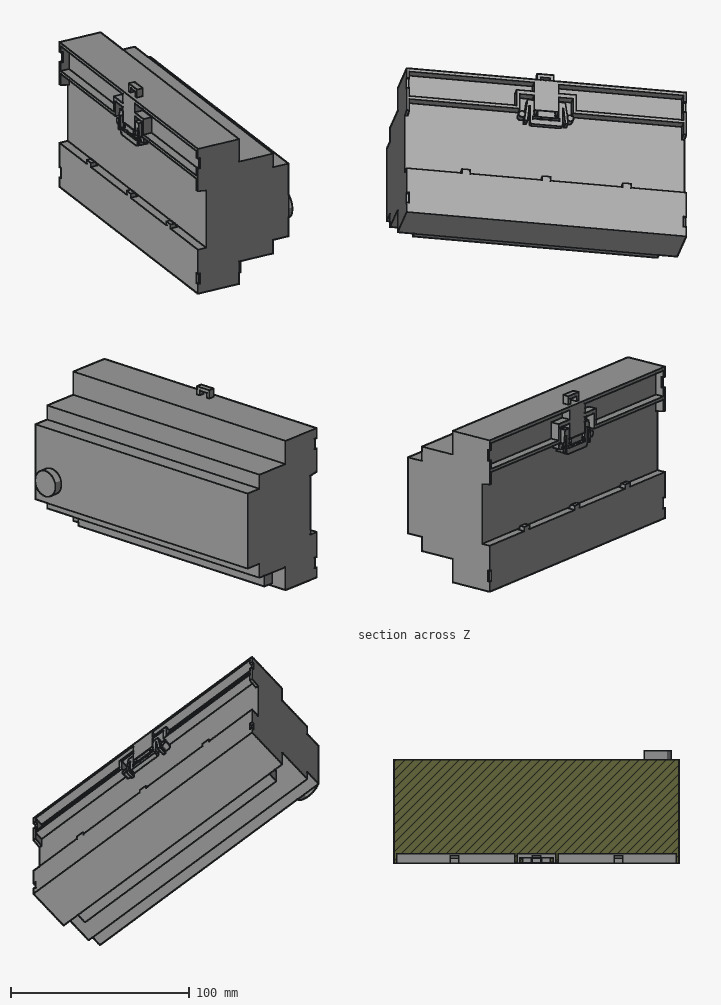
import cadquery as cq

LENGTH = 160.0
HEIGHT = 90.0
OVERALL_HEIGHT = 95.0
OVERALL_DEPTH = 63.2

SHOULDER_Y = 26.4
STEP_Y = 48.3
NOSE_Y = 58.2
STEP_BOTTOM_Z = 13.9
STEP_TOP_Z = 76.0
NOSE_BOTTOM_Z = 22.3
NOSE_TOP_Z = 67.5

TERMINAL_INSET = 10.0
TERMINAL_Y = 33.2
TERMINAL_BOTTOM_Z = 1.6

KNOB_X = 68.0
KNOB_Z = 36.3
KNOB_DIAMETER = 15.3

FLOOR_Y = 5.3
END_WALL = 1.6
LIP_Z = 27.4
END_WALL_FRONT_Z = 63.8
END_WALL_BACK_Z = 62.8
TOP_WALL = 2.0

RIDGE_BOTTOM_Z = 70.8
RIDGE_TOP_Z = 72.7
ARCH_INNER_X = 15.2
ARCH_OUTER_X = 17.1
ARCH_INNER_Z = 80.0
ARCH_OUTER_Z = 82.4

BUMP_PITCH = 46.0
BUMP_WIDTH = 4.7
BUMP_HEIGHT = 2.5
BUMP_TOP_DEPTH = 2.9
BUMP_ROOT_DEPTH = 4.2

NOTCH_DEPTH = 1.5
NOTCH_HEIGHT = 6.3
LOWER_NOTCH_Z = 6.0
UPPER_NOTCH_Z = 77.7

STRIP_HALF_WIDTH = 7.0
LATCH_FRONT_Y = 0.3
LATCH_BACK_Y = 3.0
LATCH_TOP_Z = 77.1
TONGUE_HALF_WIDTH = 9.4
TONGUE_BOTTOM_Z = 62.1
TONGUE_CHAMFER = 0.9
FINGER_TOP_X = 10.8
FINGER_TIP_INNER_X = 10.8
FINGER_TIP_OUTER_X = 12.3
FINGER_TIP_Z = 64.0
FINGER_KNEE_Z = 66.5
FINGER_ROOT_X = 9.8
FINGER_ROOT_Z = 73.4
WINDOW_WIDTH = 2.0
WINDOW_BOTTOM_Z = 68.0
SLOT_WIDTH = 4.7
SLOT_PITCH = 5.35
SLOT_BOTTOM_Z = 65.4
SLOT_TOP_Z = 66.9
PEG_X = 13.8
PEG_Z = 68.1
PEG_DIAMETER = 3.8
PEG_FRONT_Y = 1.0

LOOP_HALF_WIDTH = 4.75
LOOP_HOLE_HALF_WIDTH = 2.7
LOOP_BAR = 2.1
LOOP_FRONT_Y = 2.7
LOOP_BACK_Y = 6.4


def box(x0, x1, y0, y1, z0, z1):
    """Box between two opposite corners."""
    return cq.Workplane("XY").box(x1 - x0, y1 - y0, z1 - z0, centered=False).translate((x0, y0, z0))


def prism_along_x(points, x0, x1):
    """Closed (y, z) outline extruded from x0 to x1."""
    return cq.Workplane("YZ").polyline(points).close().extrude(x1 - x0).translate((x0, 0, 0))


def prism_along_y(points, y0, y1):
    """Closed (x, z) outline extruded from y0 to y1."""
    return cq.Workplane("XZ").polyline(points).close().extrude(y0 - y1).translate((0, y0, 0))


def cylinder_along_y(x, z, diameter, y0, y1):
    """Round bar centred at (x, z), from y0 to y1."""
    plane = cq.Plane(origin=(x, y0, z), xDir=(0, 0, 1), normal=(0, 1, 0))
    return cq.Workplane(plane).circle(diameter / 2).extrude(y1 - y0)


def make_housing():
    profile = [
        (0, 0),
        (SHOULDER_Y, 0),
        (SHOULDER_Y, STEP_BOTTOM_Z),
        (STEP_Y, STEP_BOTTOM_Z),
        (STEP_Y, NOSE_BOTTOM_Z),
        (NOSE_Y, NOSE_BOTTOM_Z),
        (NOSE_Y, NOSE_TOP_Z),
        (STEP_Y, NOSE_TOP_Z),
        (STEP_Y, STEP_TOP_Z),
        (SHOULDER_Y, STEP_TOP_Z),
        (SHOULDER_Y, HEIGHT),
        (0, HEIGHT),
    ]
    return prism_along_x(profile, -LENGTH / 2, LENGTH / 2)


def make_rail_side_cut():
    """Everything sunk from the rail face: rail recess plus the upper pocket."""
    inner_x = LENGTH / 2 - END_WALL
    recess = [
        (0, LIP_Z),
        (FLOOR_Y, LIP_Z),
        (FLOOR_Y, END_WALL_BACK_Z),
        (0, END_WALL_FRONT_Z),
    ]
    cut = prism_along_x(recess, -LENGTH / 2, LENGTH / 2)
    return cut.union(box(-inner_x, inner_x, 0, FLOOR_Y, LIP_Z, HEIGHT - TOP_WALL))


def make_ridge():
    inner_x = LENGTH / 2 - END_WALL
    outline = [
        (-inner_x, RIDGE_BOTTOM_Z),
        (-ARCH_INNER_X, RIDGE_BOTTOM_Z),
        (-ARCH_INNER_X, ARCH_INNER_Z),
        (ARCH_INNER_X, ARCH_INNER_Z),
        (ARCH_INNER_X, RIDGE_BOTTOM_Z),
        (inner_x, RIDGE_BOTTOM_Z),
        (inner_x, RIDGE_TOP_Z),
        (ARCH_OUTER_X, RIDGE_TOP_Z),
        (ARCH_OUTER_X, ARCH_OUTER_Z),
        (-ARCH_OUTER_X, ARCH_OUTER_Z),
        (-ARCH_OUTER_X, RIDGE_TOP_Z),
        (-inner_x, RIDGE_TOP_Z),
    ]
    return prism_along_y(outline, 0, FLOOR_Y)


def make_bump(x):
    profile = [
        (0, LIP_Z),
        (BUMP_ROOT_DEPTH, LIP_Z),
        (BUMP_TOP_DEPTH, LIP_Z + BUMP_HEIGHT),
        (0, LIP_Z + BUMP_HEIGHT),
    ]
    return prism_along_x(profile, x - BUMP_WIDTH / 2, x + BUMP_WIDTH / 2)


def make_notch(side, z):
    outer_x = side * LENGTH / 2
    inner_x = outer_x - side * END_WALL
    return box(min(outer_x, inner_x), max(outer_x, inner_x), 0, NOTCH_DEPTH, z, z + NOTCH_HEIGHT)


def make_tongue():
    """Latch plate with three slots and two windows below the strip."""
    chamfer_x = TONGUE_HALF_WIDTH - TONGUE_CHAMFER
    chamfer_z = TONGUE_BOTTOM_Z + TONGUE_CHAMFER
    outline = [
        (-chamfer_x, TONGUE_BOTTOM_Z),
        (chamfer_x, TONGUE_BOTTOM_Z),
        (TONGUE_HALF_WIDTH, chamfer_z),
        (TONGUE_HALF_WIDTH, LATCH_TOP_Z),
        (-TONGUE_HALF_WIDTH, LATCH_TOP_Z),
        (-TONGUE_HALF_WIDTH, chamfer_z),
    ]
    tongue = prism_along_y(outline, LATCH_FRONT_Y, LATCH_BACK_Y)
    for index in (-1, 0, 1):
        x0 = index * SLOT_PITCH - SLOT_WIDTH / 2
        slot = box(x0, x0 + SLOT_WIDTH, LATCH_FRONT_Y, LATCH_BACK_Y, SLOT_BOTTOM_Z, SLOT_TOP_Z)
        tongue = tongue.cut(slot)
    for x0 in (-STRIP_HALF_WIDTH, STRIP_HALF_WIDTH - WINDOW_WIDTH):
        window = box(x0, x0 + WINDOW_WIDTH, LATCH_FRONT_Y, LATCH_BACK_Y, WINDOW_BOTTOM_Z, RIDGE_BOTTOM_Z)
        tongue = tongue.cut(window)
    return tongue


def make_finger(side):
    """Spring finger splaying away from the tongue."""
    outline = [
        (side * TONGUE_HALF_WIDTH, LATCH_TOP_Z),
        (side * FINGER_TOP_X, LATCH_TOP_Z),
        (side * FINGER_TIP_OUTER_X, FINGER_KNEE_Z),
        (side * FINGER_TIP_OUTER_X, FINGER_TIP_Z),
        (side * FINGER_TIP_INNER_X, FINGER_TIP_Z),
        (side * FINGER_ROOT_X, FINGER_ROOT_Z),
        (side * TONGUE_HALF_WIDTH, FINGER_ROOT_Z),
    ]
    return prism_along_y(outline, LATCH_FRONT_Y, FLOOR_Y)


def make_loop():
    loop = box(-LOOP_HALF_WIDTH, LOOP_HALF_WIDTH, LOOP_FRONT_Y, LOOP_BACK_Y, HEIGHT, OVERALL_HEIGHT)
    hole_top_z = OVERALL_HEIGHT - LOOP_BAR
    return loop.cut(
        box(-LOOP_HOLE_HALF_WIDTH, LOOP_HOLE_HALF_WIDTH, LOOP_FRONT_Y, LOOP_BACK_Y, HEIGHT, hole_top_z)
    )


def make_terminal_block():
    half_length = LENGTH / 2 - TERMINAL_INSET
    return box(-half_length, half_length, SHOULDER_Y, TERMINAL_Y, TERMINAL_BOTTOM_Z, STEP_BOTTOM_Z)


def make_latch():
    """Strip flush with the rail face, carrying the tongue, the two fingers and the pull loop."""
    latch = box(-STRIP_HALF_WIDTH, STRIP_HALF_WIDTH, 0, FLOOR_Y, RIDGE_BOTTOM_Z, HEIGHT)
    latch = latch.union(make_tongue()).union(make_loop())
    for side in (-1, 1):
        latch = latch.union(make_finger(side))
    return latch


result = make_housing().cut(make_rail_side_cut())
result = result.union(make_ridge()).union(make_latch()).union(make_terminal_block())

for bump_index in (-1, 0, 1):
    result = result.union(make_bump(bump_index * BUMP_PITCH))

for side in (-1, 1):
    result = result.union(cylinder_along_y(side * PEG_X, PEG_Z, PEG_DIAMETER, PEG_FRONT_Y, FLOOR_Y))
    for notch_z in (LOWER_NOTCH_Z, UPPER_NOTCH_Z):
        result = result.cut(make_notch(side, notch_z))

result = result.union(cylinder_along_y(KNOB_X, KNOB_Z, KNOB_DIAMETER, NOSE_Y, OVERALL_DEPTH))